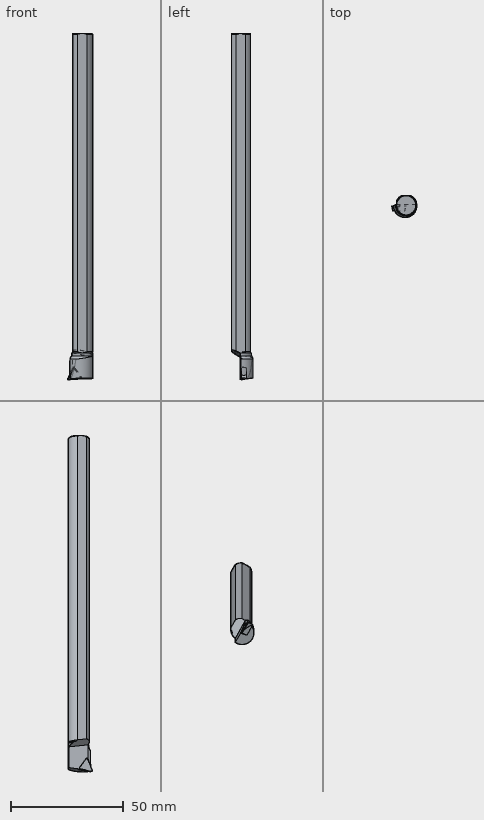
import cadquery as cq
import math


overall_height = 153.65
shank_radius = 4.75
flat_distance = 4.25
shank_bottom_z = 12.0
end_chamfer = shank_radius - flat_distance

neck_bottom_z = 10.7
flare_angle = 30.0
relief_radius = 5.36
relief_center = (-0.30, -0.22)
relief_lean = 1.0
relief_overrun = 1.0
clearance_radius = 5.21
clearance_center = (-0.46, -0.22)
head_bottom_z = 0.25
bottom_start_x = -4.0
bottom_rise_x = 2.0
bottom_rise_y = 5.0

chip_face_y = 0.4
bevel_start_x = -4.2
bevel_end = (-6.2, -0.35)
ramp_foot_z = 11.1
ramp_angle = 28.0
ramp_turn = 22.0

insert_tip_x = -6.46
insert_rake_y = -0.2
insert_thickness = 2.3
insert_side = 5.5
insert_corner_angle = 60.0
insert_nose_radius = 0.4
insert_clearance_angle = 11.0
insert_lead_angle = 5.0

cutter_size = 40.0


def cylinder(radius, bottom_z, top_z, center=(0, 0)):
    """Upright cylinder between two heights."""
    return cq.Workplane("XY", origin=(*center, bottom_z)).circle(radius).extrude(top_z - bottom_z)


def lower_block():
    """Large block whose top face lies on the XY plane."""
    block = cq.Workplane("XY").box(2 * cutter_size, 2 * cutter_size, cutter_size)
    return block.translate((0, 0, -cutter_size / 2))


def make_shank():
    """Round bar chamfered at both ends, with flats on -X, -Y and +Y."""
    bar = cylinder(shank_radius, shank_bottom_z, overall_height).edges().chamfer(end_chamfer)
    flats = cq.Workplane("XY", origin=(-flat_distance, 0, shank_bottom_z)).box(
        flat_distance + shank_radius,
        2 * flat_distance,
        overall_height - shank_bottom_z,
        centered=(False, True, False),
    )
    return bar.intersect(flats)


def make_head():
    """Neck, flare and relieved cylinder, before the chip space is cut away."""
    flare_radius = shank_radius + neck_bottom_z * math.tan(math.radians(flare_angle))
    flare = (
        cq.Workplane("XZ")
        .polyline([(0, 0), (flare_radius, 0), (shank_radius, neck_bottom_z), (0, neck_bottom_z)])
        .close()
        .revolve(360, (0, 0), (0, 1))
    )
    relief = cylinder(relief_radius, -relief_overrun, shank_bottom_z, relief_center)
    relief = relief.rotate((0, 0, 0), (0, 1, 0), relief_lean)
    clearance = cylinder(clearance_radius, 0, shank_bottom_z, clearance_center)
    neck = cylinder(shank_radius, neck_bottom_z, shank_bottom_z)
    below_bottom = (
        lower_block()
        .rotate((0, 0, 0), (0, 1, 0), -bottom_rise_x)
        .rotate((0, 0, 0), (1, 0, 0), -bottom_rise_y)
        .translate((bottom_start_x, 0, head_bottom_z))
    )
    return flare.intersect(relief).intersect(clearance).union(neck).cut(below_bottom)


def make_chip_space():
    """Space over the chip face and its outer bevel, closed at the top by the sloping ramp."""
    over_face = (
        cq.Workplane("XY", origin=(0, 0, -cutter_size / 2))
        .moveTo(*bevel_end)
        .lineTo(bevel_start_x, chip_face_y)
        .lineTo(cutter_size, chip_face_y)
        .lineTo(cutter_size, cutter_size)
        .lineTo(-cutter_size, cutter_size)
        .lineTo(-cutter_size, bevel_end[1])
        .close()
        .extrude(cutter_size)
    )
    below_ramp = (
        lower_block()
        .rotate((0, 0, 0), (1, 0, 0), ramp_angle)
        .rotate((0, 0, 0), (0, 0, 1), ramp_turn)
        .translate((0, chip_face_y, ramp_foot_z))
    )
    return over_face.intersect(below_ramp)


def insert_outline():
    """Rounded triangle on the rake plane, tangent to X = insert_tip_x and to Z = 0."""
    nose_x = insert_tip_x + insert_nose_radius
    nose_z = insert_nose_radius
    corners = [(nose_x, nose_z)]
    for angle in (insert_lead_angle, insert_lead_angle + insert_corner_angle):
        direction = math.radians(angle)
        corner_x = nose_x + insert_side * math.cos(direction)
        corner_z = nose_z + insert_side * math.sin(direction)
        corners.append((corner_x, corner_z))
    rake_plane = cq.Workplane("XZ", origin=(0, insert_rake_y, 0))
    return rake_plane.polyline(corners).close().offset2D(insert_nose_radius)


def make_insert():
    """Cutting insert that narrows from its rake face toward -Y."""
    return insert_outline().extrude(insert_thickness, taper=insert_clearance_angle)


def make_holder(insert):
    """Shank and head as one solid, with a seat for the insert open toward +Y."""
    blank = make_shank().union(make_head()).cut(make_chip_space())
    seat_opening = insert_outline().extrude(-(chip_face_y - insert_rake_y))
    return blank.cut(insert).cut(seat_opening)


insert = make_insert()
holder = make_holder(insert)

result = cq.Compound.makeCompound([holder.val(), insert.val()])